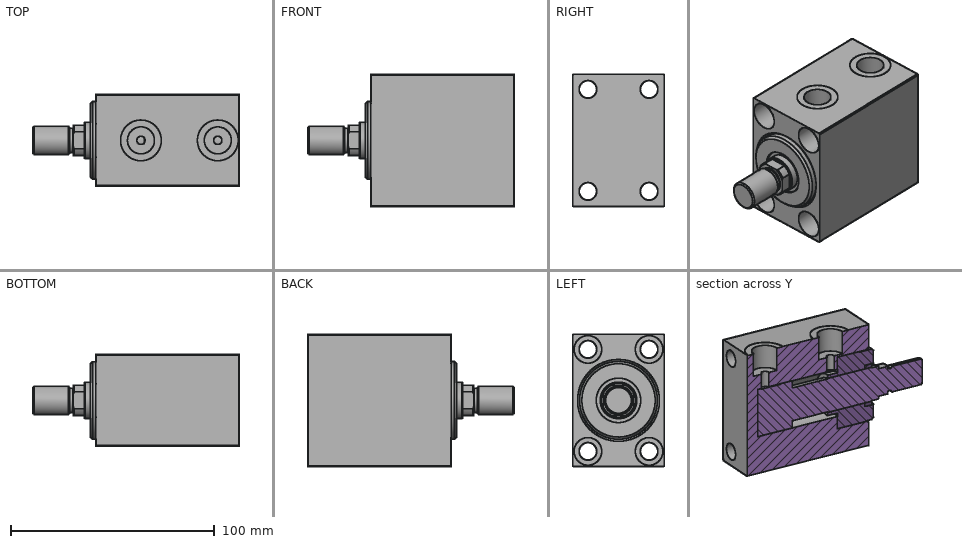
import cadquery as cq

TOTAL_LENGTH = 101.0
HOUSING_LENGTH = 70.2
HOUSING_WIDTH = 45.0
HOUSING_HEIGHT = 65.0
EDGE_CHAMFER = 0.5

MOUNT_SPACING_Y = 30.0
MOUNT_SPACING_Z = 50.0
MOUNT_HOLE_DIAMETER = 8.5
MOUNT_BORE_DIAMETER = 13.5
MOUNT_BORE_DEPTH = 10.0

FRONT_PORT_X = 22.1
PORT_SPACING = 37.7
PORT_FACE_DIAMETER = 20.0
PORT_FACE_DEPTH = 0.1
PORT_DIAMETER = 13.2
PORT_DEPTH = 12.0
PORT_DRILL_DIAMETER = 4.0

BORE_DIAMETER = 25.0
BORE_END_X = 64.0
SEAT_DEPTH = 18.0
SEAT_CHAMFER = 1.0

GLAND_DIAMETER = 38.2
GLAND_PROTRUSION = 2.7
GLAND_CHAMFER = 1.1
GLAND_TAIL_DIAMETER = 22.0
GLAND_TAIL_END_X = 23.7

WIPER_DIAMETER = 21.8
WIPER_LENGTH = 4.0
WIPER_SETBACK = 1.0

ROD_DIAMETER = 18.0
ROD_CHAMFER = 0.5
ROD_SHOULDER_PROTRUSION = 5.8
FLATS_DIAMETER = 17.2
FLATS_ACROSS = 15.0
FLATS_LENGTH = 5.3
FLATS_CHAMFER = 0.4
NECK_DIAMETER = 12.0
NECK_LENGTH = 1.7
NECK_FLARE = 0.3
THREAD_DIAMETER = 14.0
THREAD_CHAMFER = 0.7
THREAD_RUNOUT = 0.7
PISTON_FRONT_X = 44.0

ROD_TIP_X = HOUSING_LENGTH - TOTAL_LENGTH
WIPER_FRONT_X = WIPER_SETBACK - GLAND_PROTRUSION
SHOULDER_X = -ROD_SHOULDER_PROTRUSION
FLATS_FRONT_X = SHOULDER_X - FLATS_LENGTH
THREAD_END_X = FLATS_FRONT_X - NECK_LENGTH


def cylinder_x(diameter, start, end):
    """Round bar along the X axis from start to end."""
    return cq.Workplane("YZ", origin=(start, 0, 0)).circle(diameter / 2).extrude(end - start)


def cone_x(start_diameter, end_diameter, start, end):
    """Tapered round bar along the X axis."""
    return cq.Workplane(
        cq.Solid.makeCone(
            start_diameter / 2, end_diameter / 2, end - start, cq.Vector(start, 0, 0), cq.Vector(1, 0, 0)
        )
    )


def make_mounting_holes():
    """Four through holes with counterbores open to the front face."""
    def corner_bars(diameter, depth):
        return (
            cq.Workplane("YZ")
            .rect(MOUNT_SPACING_Y, MOUNT_SPACING_Z, forConstruction=True)
            .vertices()
            .circle(diameter / 2)
            .extrude(depth)
        )

    holes = corner_bars(MOUNT_HOLE_DIAMETER, HOUSING_LENGTH)
    return holes.union(corner_bars(MOUNT_BORE_DIAMETER, MOUNT_BORE_DEPTH))


def make_port(x):
    """Spot-faced port in the top face with a drilled passage down to the bore."""
    top = cq.Workplane("XY", origin=(x, 0, HOUSING_HEIGHT / 2))
    port = top.circle(PORT_FACE_DIAMETER / 2).extrude(-PORT_FACE_DEPTH)
    port = port.union(top.circle(PORT_DIAMETER / 2).extrude(-PORT_DEPTH))
    return port.union(top.circle(PORT_DRILL_DIAMETER / 2).extrude(-HOUSING_HEIGHT / 2))


def make_housing():
    """Block with a blind bore, a gland seat, mounting holes and two ports."""
    block = cq.Workplane("YZ").rect(HOUSING_WIDTH, HOUSING_HEIGHT).extrude(HOUSING_LENGTH)
    block = block.edges("|X").chamfer(EDGE_CHAMFER)
    mouth_diameter = GLAND_DIAMETER + 2 * SEAT_CHAMFER
    block = block.cut(cylinder_x(BORE_DIAMETER, 0, BORE_END_X))
    block = block.cut(cylinder_x(GLAND_DIAMETER, 0, SEAT_DEPTH))
    block = block.cut(cone_x(mouth_diameter, GLAND_DIAMETER, 0, SEAT_CHAMFER))
    block = block.cut(make_mounting_holes())
    for x in (FRONT_PORT_X, FRONT_PORT_X + PORT_SPACING):
        block = block.cut(make_port(x))
    return block


def make_gland():
    """Bushing with a chamfered front rim, a reduced tail and a recess for the wiper."""
    gland = cylinder_x(GLAND_DIAMETER, -GLAND_PROTRUSION, SEAT_DEPTH).faces("<X").chamfer(GLAND_CHAMFER)
    gland = gland.union(cylinder_x(GLAND_TAIL_DIAMETER, SEAT_DEPTH, GLAND_TAIL_END_X))
    gland = gland.cut(cylinder_x(WIPER_DIAMETER, -GLAND_PROTRUSION, WIPER_FRONT_X + WIPER_LENGTH))
    return gland.cut(cylinder_x(ROD_DIAMETER, -GLAND_PROTRUSION, GLAND_TAIL_END_X))


def make_wiper():
    """Plain ring around the rod."""
    wiper_end = WIPER_FRONT_X + WIPER_LENGTH
    wiper = cylinder_x(WIPER_DIAMETER, WIPER_FRONT_X, wiper_end)
    return wiper.cut(cylinder_x(ROD_DIAMETER, WIPER_FRONT_X, wiper_end))


def make_wrench_section():
    """Round collar with four flats for a wrench."""
    collar = cylinder_x(FLATS_DIAMETER, FLATS_FRONT_X, SHOULDER_X).faces("<X").chamfer(FLATS_CHAMFER)
    square = cq.Workplane("YZ", origin=(FLATS_FRONT_X, 0, 0)).rect(FLATS_ACROSS, FLATS_ACROSS)
    return collar.intersect(square.extrude(FLATS_LENGTH))


def make_rod():
    """Piston, rod, wrench section, neck and threaded end as one piece."""
    rod = cylinder_x(ROD_DIAMETER, SHOULDER_X, PISTON_FRONT_X).faces("<X").chamfer(ROD_CHAMFER)
    rod = rod.union(cylinder_x(BORE_DIAMETER, PISTON_FRONT_X, BORE_END_X))
    rod = rod.union(make_wrench_section())
    rod = rod.union(cylinder_x(NECK_DIAMETER, THREAD_END_X, FLATS_FRONT_X))
    flare_end_diameter = NECK_DIAMETER + 2 * NECK_FLARE
    rod = rod.union(cone_x(NECK_DIAMETER, flare_end_diameter, FLATS_FRONT_X - NECK_FLARE, FLATS_FRONT_X))
    runout_x = THREAD_END_X - THREAD_RUNOUT
    rod = rod.union(cone_x(THREAD_DIAMETER, NECK_DIAMETER, runout_x, THREAD_END_X))
    thread = cylinder_x(THREAD_DIAMETER, ROD_TIP_X, runout_x).faces("<X").chamfer(THREAD_CHAMFER)
    return rod.union(thread)


housing = make_housing()
gland = make_gland()
wiper = make_wiper()
rod = make_rod()

result = cq.Compound.makeCompound([housing.val(), gland.val(), wiper.val(), rod.val()])